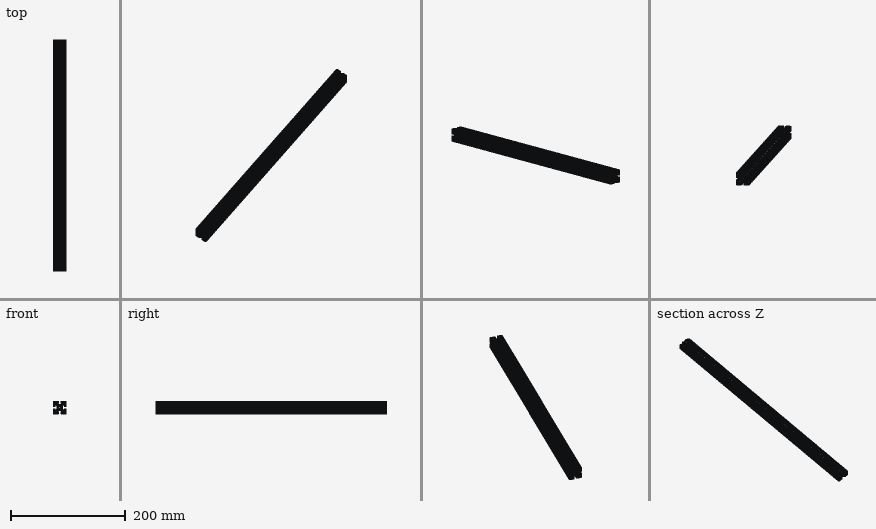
import math

import cadquery as cq

size = 20.0
length = 400.0
corner_radius = 0.5

slot_opening = 6.0
lip_thickness = 1.25
cavity_width = 12.5

lip_bevel_width = 0.5
lip_bevel_depth = 0.3

core_width = 8.6
bore_diameter = 6.0
web_thickness = 1.0

score_width = 0.6
score_depth = 0.3

cut_clearance = 1.0

half_size = size / 2
half_core = core_width / 2
half_opening = slot_opening / 2
half_cavity = cavity_width / 2
lip_inner = half_size - lip_thickness
bevel_edge = half_opening + lip_bevel_width
web_offset = web_thickness / math.sqrt(2)


def extrude_full_length(section):
    """Extrude an XZ section symmetrically about Y = 0."""
    return section.extrude(length / 2, both=True)


def make_bar():
    bar = extrude_full_length(cq.Workplane("XZ").rect(size, size))
    return bar.edges("|Y").fillet(corner_radius)


def make_bore():
    return extrude_full_length(cq.Workplane("XZ").circle(bore_diameter / 2))


def make_slot():
    """Void of the slot in the +Z side, including the score in its floor."""
    right_side = [
        (score_width / 2, half_core),
        (half_core - web_offset, half_core),
        (half_cavity, half_cavity + web_offset),
        (half_cavity, lip_inner),
        (half_opening, lip_inner),
        (half_opening, half_size - lip_bevel_depth),
        (bevel_edge, half_size),
        (bevel_edge, half_size + cut_clearance),
    ]
    left_side = [(-x, z) for x, z in reversed(right_side)]
    score_tip = (0, half_core - score_depth)
    outline = [score_tip] + right_side + left_side
    return extrude_full_length(cq.Workplane("XZ").polyline(outline).close())


result = make_bar().cut(make_bore())

side_count = 4
slot = make_slot()
for side in range(side_count):
    result = result.cut(slot.rotate((0, 0, 0), (0, 1, 0), side * 360 / side_count))